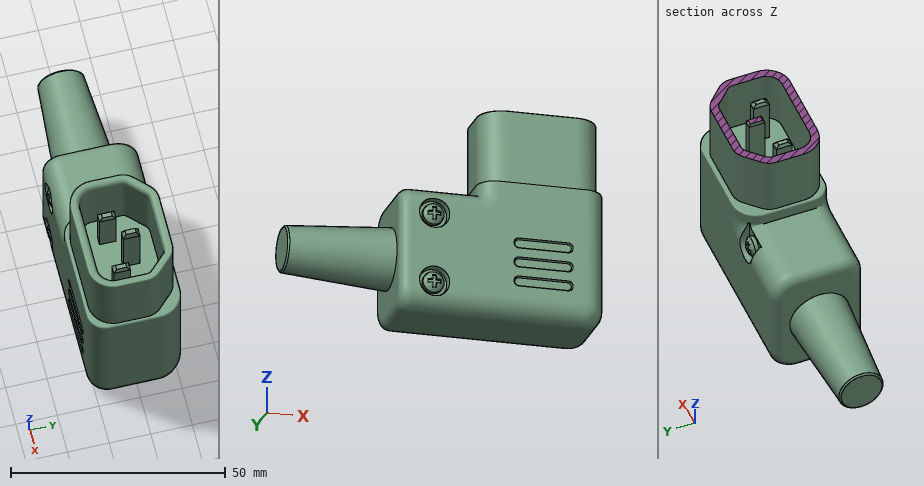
import cadquery as cq
import math


HOUSING_LENGTH = 49.75
HOUSING_HEIGHT = 30.3
Y_FRONT = -11.15
Y_BACK = 11.65
FRONT_RADIUS = 4.6
BACK_RADIUS = 6.2
CORNER_RADIUS = 4.0
CABLE_FACE_RADIUS = 2.6

Z_BOTTOM = -HOUSING_HEIGHT / 2
Z_TOP = HOUSING_HEIGHT / 2
HOUSING_DEPTH = Y_BACK - Y_FRONT

COLUMN_START = 19.3
COLUMN_RISE = 3.0
COLUMN_LENGTH = HOUSING_LENGTH - COLUMN_START
Z_COLLAR = Z_TOP + COLUMN_RISE
CORNER_CORE = 0.05
COLLAR_EDGE_RADIUS = 0.45

SLEEVE_LENGTH = 25.85
SLEEVE_BASE_RADIUS = 7.5
SLEEVE_TIP_RADIUS = 5.55
SLEEVE_TIP_CHAMFER = 0.4

SHROUD_LENGTH = 28.75
SHROUD_DEPTH = 20.75
SHROUD_HEIGHT = 18.0
SHROUD_WALL = 2.15
SHROUD_CHAMFER = 6.0
SHROUD_KEY_RADIUS = 4.8
CAVITY_KEY_RADIUS = 2.0
SHROUD_FRONT_RADIUS = 6.0
SHROUD_X = COLUMN_START + COLUMN_LENGTH / 2
SHROUD_Y = 0.1
RIM_RADIUS = 0.35
MOUTH_RADIUS = 1.15
CAVITY_DEPTH = 16.5
Z_CAVITY_FLOOR = Z_COLLAR + SHROUD_HEIGHT - CAVITY_DEPTH

PIN_WIDTH = 2.0
PIN_DEPTH = 4.0
SHANK_HEIGHT = 11.2
EARTH_SHANK_HEIGHT = 13.5
PIN_PITCH = 7.0
PIN_OFFSET_Y = 2.0
PIN_TIP_WIDTH = 1.1
PIN_TIP_DEPTH = 2.4
PIN_TIP_HEIGHT = 0.8
EARTH_TIP_HEIGHT = 1.3

HEAD_RADIUS = 2.55
HEAD_RIM_HEIGHT = 1.0
HEAD_DOME_RADIUS = 3.2
HEAD_DOME_HEIGHT = HEAD_DOME_RADIUS - math.sqrt(HEAD_DOME_RADIUS**2 - HEAD_RADIUS**2)
HEAD_HEIGHT = HEAD_RIM_HEIGHT + HEAD_DOME_HEIGHT
CROSS_LENGTH = 3.1
CROSS_WIDTH = 0.9
CROSS_DEPTH = 1.0
FRONT_SCREW_X = 8.1
FRONT_SCREW_Z = 8.5
SCREW_STANDOUT = 0.35
FRONT_SCREW_DEPTH = HEAD_HEIGHT - SCREW_STANDOUT
FRONT_RECESS_RADIUS = 3.45
FRONT_RECESS_MOUTH_RADIUS = 3.65
BACK_SCREW_X = 17.3
BACK_SCREW_Z = 10.8
BACK_SCREW_DEPTH = 2.6
BACK_RECESS_RADIUS = 3.55

GROOVE_LENGTH = 14.3
GROOVE_WIDTH = 2.5
GROOVE_DEPTH = 0.5
GROOVE_TAPER = 30.0
GROOVE_PITCH = 4.75
GROOVE_COUNT = 3
TOP_GROOVE_Z = 3.05


def box_from(corner, size):
    """Axis-aligned box given by its lowest corner and its size."""
    return cq.Workplane("XY", origin=corner).box(*size, centered=False)


def cable_block():
    """Low block over the cable half, ending inside the column."""
    length = COLUMN_START + COLUMN_LENGTH / 2
    body = box_from((0, Y_FRONT, Z_BOTTOM), (length, HOUSING_DEPTH, HOUSING_HEIGHT))
    body = body.edges("|X and <Y").fillet(FRONT_RADIUS)
    body = body.edges("|X and >Y").fillet(BACK_RADIUS)
    return body.faces("<X").edges().fillet(CABLE_FACE_RADIUS)


def column_block():
    """Tall block below the socket, with rounded sides and bottom and a finely rounded collar."""
    height = Z_COLLAR - Z_BOTTOM
    body = box_from((COLUMN_START, Y_FRONT, Z_BOTTOM), (COLUMN_LENGTH, HOUSING_DEPTH, height))
    body = body.edges("|Y and >X and <Z").fillet(CORNER_RADIUS)
    body = body.faces("<Y").edges("not >Z").fillet(FRONT_RADIUS)
    body = body.faces(">Y").edges("not >Z").fillet(BACK_RADIUS)
    return body.faces(">Z").edges().fillet(COLLAR_EDGE_RADIUS)


def edge_drop(radius, distance):
    """How far a rounded edge has fallen below the face, at a distance from the edge."""
    return radius - math.sqrt(radius**2 - (radius - distance) ** 2)


def inner_corner():
    """Quarter turn of the rounded side edges about the inner corner between block and collar."""
    front_start = Y_FRONT + edge_drop(FRONT_RADIUS, CORNER_CORE)
    back_start = Y_BACK - edge_drop(BACK_RADIUS, CORNER_CORE)
    front_middle = Y_FRONT + edge_drop(FRONT_RADIUS, FRONT_RADIUS / 2)
    back_middle = Y_BACK - edge_drop(BACK_RADIUS, BACK_RADIUS / 2)
    reach = BACK_RADIUS * math.sqrt(2)
    section = (
        cq.Workplane("XY", origin=(COLUMN_START, 0, Z_TOP))
        .moveTo(0, front_start)
        .lineTo(CORNER_CORE, front_start)
        .threePointArc((FRONT_RADIUS / 2, front_middle), (FRONT_RADIUS, Y_FRONT))
        .lineTo(reach, Y_FRONT)
        .lineTo(reach, Y_BACK)
        .lineTo(BACK_RADIUS, Y_BACK)
        .threePointArc((BACK_RADIUS / 2, back_middle), (CORNER_CORE, back_start))
        .lineTo(0, back_start)
        .close()
    )
    return section.revolve(90, (0, 0, 0), (0, 1, 0))


def strain_relief():
    """Tapered sleeve around the cable, solid, with a small chamfer at its tip."""
    return (
        cq.Workplane("YZ")
        .circle(SLEEVE_BASE_RADIUS)
        .workplane(offset=-SLEEVE_LENGTH)
        .circle(SLEEVE_TIP_RADIUS)
        .loft()
        .faces("<X")
        .chamfer(SLEEVE_TIP_CHAMFER)
    )


def shroud_prism(inset, key_radius, z_start, height):
    """Upright prism with the keyed socket outline, moved inwards by inset.

    key_radius rounds the two keying corners at the back.
    """
    prism = (
        cq.Workplane("XY", origin=(SHROUD_X, SHROUD_Y, z_start))
        .rect(SHROUD_LENGTH - 2 * inset, SHROUD_DEPTH - 2 * inset)
        .extrude(height)
        .edges("|Z and >Y")
        .chamfer(SHROUD_CHAMFER - inset * (2 - math.sqrt(2)))
    )
    prism = prism.edges("|Z and <Y").fillet(SHROUD_FRONT_RADIUS - inset)
    keying_edges = cq.selectors.BoxSelector(
        (SHROUD_X - SHROUD_LENGTH, SHROUD_Y, z_start),
        (SHROUD_X + SHROUD_LENGTH, SHROUD_Y + SHROUD_DEPTH, z_start + height),
    )
    return prism.edges("|Z").edges(keying_edges).fillet(key_radius)


def socket_cavity():
    """Space inside the shroud."""
    return shroud_prism(SHROUD_WALL, CAVITY_KEY_RADIUS, Z_CAVITY_FLOOR, CAVITY_DEPTH)


def round_shroud_rim(body):
    """Round the outer edge of the rim slightly and the mouth of the cavity strongly."""
    rim = body.faces(">Z")
    mouth = rim.wires(cq.selectors.LengthNthSelector(0))
    body = body.newObject(mouth.edges().vals()).fillet(MOUTH_RADIUS)
    rim = body.faces(">Z")
    outline = rim.wires(cq.selectors.LengthNthSelector(-1))
    return body.newObject(outline.edges().vals()).fillet(RIM_RADIUS)


def pin(x, y, shank_height, tip_height):
    """Flat contact pin with a tapered tip, standing on the cavity floor."""
    base = cq.Workplane("XY", origin=(x, y, Z_CAVITY_FLOOR))
    shank = base.rect(PIN_WIDTH, PIN_DEPTH).extrude(shank_height)
    tip = (
        shank.faces(">Z")
        .workplane()
        .rect(PIN_WIDTH, PIN_DEPTH)
        .workplane(offset=tip_height)
        .rect(PIN_TIP_WIDTH, PIN_TIP_DEPTH)
        .loft(combine=False)
    )
    return shank.union(tip)


def screw_head():
    """Domed cross-slot screw head standing on the XY plane and facing +Z."""
    dome_centre = HEAD_HEIGHT - HEAD_DOME_RADIUS
    dome = cq.Workplane("XY").sphere(HEAD_DOME_RADIUS).translate((0, 0, dome_centre))
    head = cq.Workplane("XY").circle(HEAD_RADIUS).extrude(HEAD_HEIGHT).intersect(dome)
    rim = cq.Workplane("XY").circle(HEAD_RADIUS).extrude(HEAD_RIM_HEIGHT)
    slot_floor = cq.Workplane("XY").workplane(offset=HEAD_HEIGHT - CROSS_DEPTH)
    cross = slot_floor.rect(CROSS_LENGTH, CROSS_WIDTH).extrude(CROSS_DEPTH)
    cross = cross.union(slot_floor.rect(CROSS_WIDTH, CROSS_LENGTH).extrude(CROSS_DEPTH))
    return head.union(rim).cut(cross)


def add_front_screw(body, x, z):
    """Sink a screw into a slightly conical recess in the front face."""
    y_floor = Y_FRONT + FRONT_SCREW_DEPTH
    recess = (
        cq.Workplane("XZ", origin=(x, y_floor, z))
        .circle(FRONT_RECESS_RADIUS)
        .workplane(offset=FRONT_SCREW_DEPTH)
        .circle(FRONT_RECESS_MOUTH_RADIUS)
        .loft()
    )
    head = screw_head().rotate((0, 0, 0), (1, 0, 0), 90).translate((x, y_floor, z))
    return body.cut(recess).union(head)


def add_back_screw(body, x, z):
    """Sink a screw into a U-shaped recess in the back face, open through the rounded top edge."""
    y_floor = Y_BACK - BACK_SCREW_DEPTH
    face = cq.Workplane("XZ", origin=(x, Y_BACK, z))
    recess = face.circle(BACK_RECESS_RADIUS).extrude(BACK_SCREW_DEPTH)
    opening = box_from(
        (x - BACK_RECESS_RADIUS, y_floor, z),
        (2 * BACK_RECESS_RADIUS, BACK_SCREW_DEPTH, Z_TOP - z),
    )
    recess = recess.union(opening)
    head = screw_head().rotate((0, 0, 0), (1, 0, 0), -90).translate((x, y_floor, z))
    return body.cut(recess).union(head)


def grip_groove(z):
    """Shallow round-ended groove with sloping sides, sunk into the front face."""
    return (
        cq.Workplane("XZ", origin=(SHROUD_X, Y_FRONT, z))
        .slot2D(GROOVE_LENGTH, GROOVE_WIDTH)
        .extrude(-GROOVE_DEPTH, taper=GROOVE_TAPER)
    )


part = cable_block().union(column_block()).union(inner_corner()).union(strain_relief())

part = part.union(shroud_prism(0, SHROUD_KEY_RADIUS, Z_TOP, COLUMN_RISE + SHROUD_HEIGHT))
part = round_shroud_rim(part.cut(socket_cavity()))
part = part.union(pin(SHROUD_X, PIN_OFFSET_Y, EARTH_SHANK_HEIGHT, EARTH_TIP_HEIGHT))
for side in (-1, 1):
    x_pin = SHROUD_X + side * PIN_PITCH
    part = part.union(pin(x_pin, -PIN_OFFSET_Y, SHANK_HEIGHT, PIN_TIP_HEIGHT))

for side in (-1, 1):
    part = add_front_screw(part, FRONT_SCREW_X, side * FRONT_SCREW_Z)
part = add_back_screw(part, BACK_SCREW_X, BACK_SCREW_Z)

for index in range(GROOVE_COUNT):
    part = part.cut(grip_groove(TOP_GROOVE_Z - index * GROOVE_PITCH))

result = part